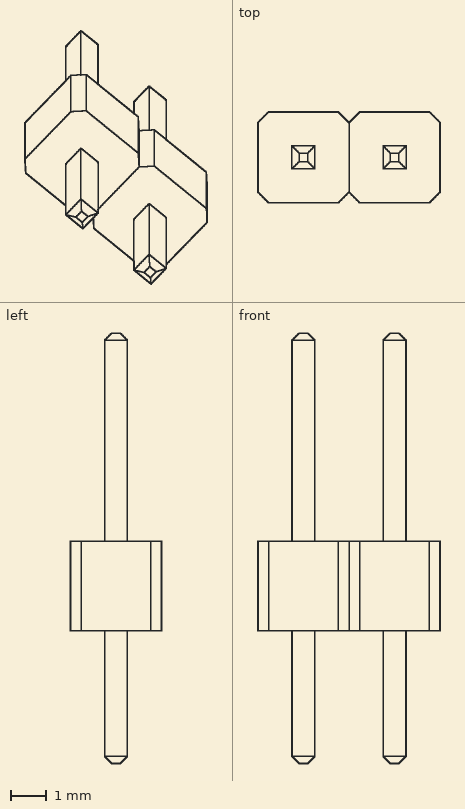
import cadquery as cq

pin_count = 2
pitch = 2.54
block_height = 2.5
corner_chamfer = 0.3
pin_width = 0.64
pin_length = 12.0
pin_tip = 0.2
tail_length = 3.7

pin_bottom = -tail_length
first_pin_x = -(pin_count - 1) * pitch / 2


def make_block():
    """Square block with its four vertical edges chamfered."""
    return (
        cq.Workplane("XY")
        .rect(pitch, pitch)
        .extrude(block_height)
        .edges("|Z")
        .chamfer(corner_chamfer)
    )


def make_pin():
    """Square pin tapered at both ends."""
    return (
        cq.Workplane("XY")
        .workplane(offset=pin_bottom)
        .rect(pin_width, pin_width)
        .extrude(pin_length)
        .faces("<Z or >Z")
        .chamfer(pin_tip)
    )


def make_header_unit(x):
    """One pole of the header: a block and its pin as a single solid."""
    return make_block().union(make_pin()).translate((x, 0, 0))


header_units = [make_header_unit(first_pin_x + i * pitch) for i in range(pin_count)]

result = cq.Compound.makeCompound([unit.solids().val() for unit in header_units])